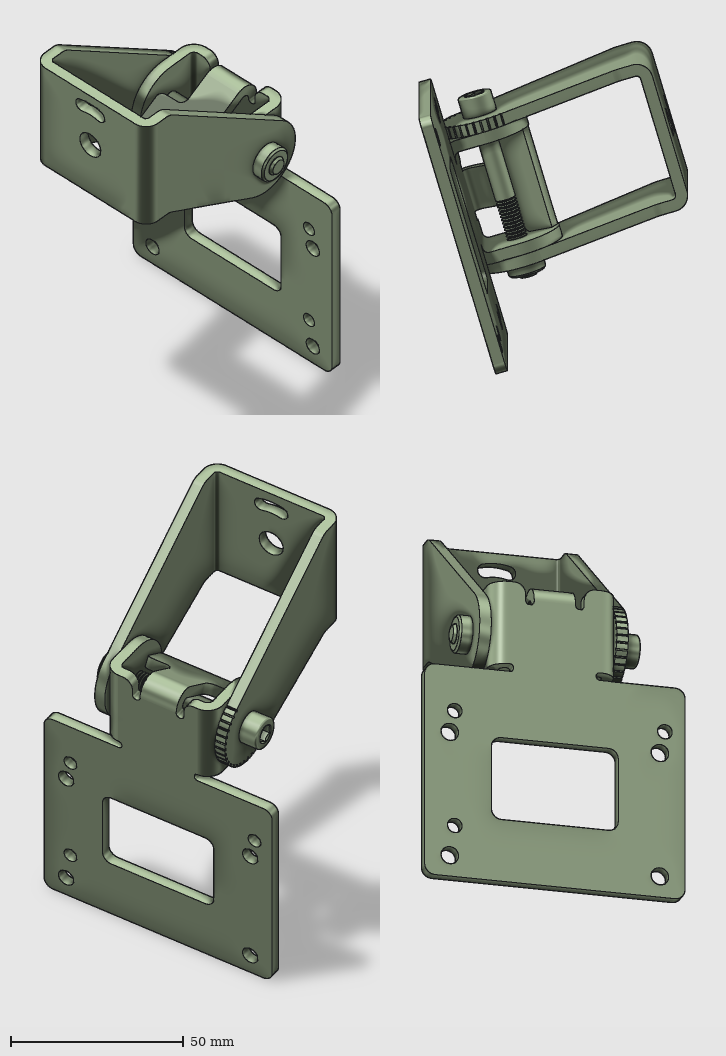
import cadquery as cq
import math

sheet = 3.5

pivot_y = -13.5
pivot_z = 80.4
bolt_radius = 3.0

bracket_half_width = 22.5
bracket_front_y = -64.3
bracket_top_z = 124.9
bracket_bottom_z = 86.8
bracket_bend_inner = 1.2
arm_end_radius = 12.6
arm_corner_y = -54.6
arm_corner_radius = 5.0
bracket_hole_diameter = 8.2
bracket_hole_z = 105.8
arc_slot_radius = 13.9
arc_slot_width = 4.2
arc_slot_half_span = 3.6
notch_width = 0.5
notch_depth = 0.7
notch_step = 10
notch_first = -120
notch_last = 60

plate_width = 78.8
plate_height = 65.3
plate_corner_radius = 3.1
window_width = 38.3
window_height = 25.3
window_center_z = 31.8
window_corner_radius = 3.0
hole_pitch_x = 63.5
large_hole_diameter = 5.2
large_hole_rows = (6.5, 44.7)
small_hole_diameter = 4.4
small_pattern_center_x = -1.5
small_hole_rows = (15.9, 51.5)

ear_outer_x = bracket_half_width - sheet
ear_radius = 12.7
ear_top_z = pivot_z + ear_radius
ear_bottom_z = pivot_z - ear_radius
fold_inner = 1.7
fold_outer = fold_inner + sheet
neck_half_width = 12.5
neck_relief_radius = (ear_bottom_z - plate_height) / 2
tongue_half_width = 6.2
tongue_slope = math.radians(30)
tongue_relief_width = 2.6
web_corner_radius = 3.4
tie_front_y = -25.8
tie_rear_y = -17.7
tie_half_width = 16.0
tie_outer_radius = 3.0
tie_inner_radius = 2.5

bolt_length = 50.0
thread_length = 24.0
thread_pitch = 1.0
thread_depth = 0.6
thread_crest = 0.1
thread_root = 0.2
head_radius = 5.0
head_height = 6.0
head_fillet = 0.6
socket_flats = 5.0
socket_depth = 3.0
socket_countersink_radius = 3.0
socket_countersink_depth = 0.5
nut_radius = 5.6
nut_height = 4.0
nut_chamfer = 0.6


def along_x(x_start, y, z):
    """Workplane facing +X with local axes Y and Z, at the given point."""
    return cq.Workplane("YZ", origin=(x_start, y, z))


def plate_face():
    """Workplane on Y = 0 facing -Y with local axes X and Z."""
    return cq.Workplane("XZ")


def pivot_bore(half_length):
    return along_x(-half_length, pivot_y, pivot_z).circle(bolt_radius).extrude(2 * half_length)


def channel(half_width, y_open, y_web, z_low, z_high, inner_radius):
    """U-shaped sheet with its web at y_web and its legs running to y_open."""
    toward_legs = math.copysign(1, y_open - y_web)
    height = z_high - z_low

    def block(half, y_wall, radius):
        length = abs(y_open - y_wall)
        middle = (y_open + y_wall) / 2
        wall_side = "<Y" if toward_legs > 0 else ">Y"
        box = cq.Workplane("XY", origin=(0, middle, z_low)).rect(2 * half, length).extrude(height)
        return box.faces(wall_side).edges("|Z").fillet(radius)

    outside = block(half_width, y_web, inner_radius + sheet)
    inside = block(half_width - sheet, y_web + toward_legs * sheet, inner_radius)
    return outside.cut(inside)


def tangent_point(corner_z, side):
    """Point where the line from an arm corner touches the arm's end circle; side: 1 above, -1 below."""
    dy = arm_corner_y - pivot_y
    dz = corner_z - pivot_z
    angle = math.atan2(dz, dy) - side * math.acos(arm_end_radius / math.hypot(dy, dz))
    return (pivot_y + arm_end_radius * math.cos(angle), pivot_z + arm_end_radius * math.sin(angle))


def arm_outline():
    upper_tangent = tangent_point(bracket_top_z, 1)
    lower_tangent = tangent_point(bracket_bottom_z, -1)
    outline = (
        along_x(-bracket_half_width, 0, 0)
        .moveTo(bracket_front_y, bracket_bottom_z)
        .lineTo(arm_corner_y, bracket_bottom_z)
        .lineTo(*lower_tangent)
        .threePointArc((pivot_y + arm_end_radius, pivot_z), upper_tangent)
        .lineTo(arm_corner_y, bracket_top_z)
        .lineTo(bracket_front_y, bracket_top_z)
        .close()
        .extrude(2 * bracket_half_width)
    )
    for corner_z in (bracket_bottom_z, bracket_top_z):
        corner = cq.selectors.NearestToPointSelector((0, arm_corner_y, corner_z))
        outline = outline.edges("|X").edges(corner).fillet(arm_corner_radius)
    return outline


def arc_slot():
    """Slot curved about the bracket hole, with round ends."""
    half_angle = math.asin(arc_slot_half_span / arc_slot_radius)
    inner = arc_slot_radius - arc_slot_width / 2
    outer = arc_slot_radius + arc_slot_width / 2

    def at(radius, angle):
        return (radius * math.sin(angle), bracket_hole_z + radius * math.cos(angle))

    def end_tip(sign):
        x, z = at(arc_slot_radius, sign * half_angle)
        bulge = arc_slot_width / 2
        return (x + sign * bulge * math.cos(half_angle), z - bulge * math.sin(half_angle))

    return (
        plate_face()
        .moveTo(*at(inner, -half_angle))
        .threePointArc(at(inner, 0), at(inner, half_angle))
        .threePointArc(end_tip(1), at(outer, half_angle))
        .threePointArc(at(outer, 0), at(outer, -half_angle))
        .threePointArc(end_tip(-1), at(inner, -half_angle))
        .close()
        .extrude(-bracket_front_y)
    )


def angle_scale():
    """Radial notches across the rim of the -X arm."""
    notches = cq.Workplane("YZ")
    for angle in range(notch_first, notch_last + 1, notch_step):
        notch = (
            along_x(-bracket_half_width, pivot_y, pivot_z)
            .center(arm_end_radius, 0)
            .rect(2 * notch_depth, notch_width)
            .extrude(sheet)
            .rotate((0, pivot_y, pivot_z), (1, pivot_y, pivot_z), angle)
        )
        notches = notches.add(notch)
    return notches.combine()


def make_bracket():
    arm_back_y = pivot_y + arm_end_radius
    arm_low_z = pivot_z - arm_end_radius
    body = channel(
        bracket_half_width, arm_back_y, bracket_front_y, arm_low_z, bracket_top_z, bracket_bend_inner
    )
    body = body.intersect(arm_outline())
    hole_radius = bracket_hole_diameter / 2
    hole = plate_face().center(0, bracket_hole_z).circle(hole_radius).extrude(-bracket_front_y)
    return body.cut(hole).cut(arc_slot()).cut(angle_scale()).cut(pivot_bore(bracket_half_width))


def mounting_plate():
    plate = (
        plate_face().center(0, plate_height / 2).rect(plate_width, plate_height).extrude(sheet)
        .edges("|Y").fillet(plate_corner_radius)
    )
    window = (
        plate_face().center(0, window_center_z).rect(window_width, window_height).extrude(sheet)
        .edges("|Y").fillet(window_corner_radius)
    )
    half_pitch = hole_pitch_x / 2
    large_points = [(side * half_pitch, z) for side in (-1, 1) for z in large_hole_rows]
    low_row, high_row = small_hole_rows
    left_x = small_pattern_center_x - half_pitch
    right_x = small_pattern_center_x + half_pitch
    small_points = [(left_x, high_row), (right_x, high_row), (right_x, low_row)]
    large_holes = plate_face().pushPoints(large_points).circle(large_hole_diameter / 2).extrude(sheet)
    small_holes = plate_face().pushPoints(small_points).circle(small_hole_diameter / 2).extrude(sheet)
    return plate.cut(window).cut(large_holes).cut(small_holes)


def neck():
    """Strip joining plate and web, with a round-ended bend relief on each side."""
    relief_x = neck_half_width + neck_relief_radius
    middle_z = (plate_height + ear_bottom_z) / 2
    strip = plate_face().center(0, middle_z).rect(2 * relief_x, 2 * neck_relief_radius).extrude(sheet)
    reliefs = (
        plate_face().pushPoints([(-relief_x, middle_z), (relief_x, middle_z)])
        .circle(neck_relief_radius).extrude(sheet)
    )
    return strip.cut(reliefs)


def web_opening():
    """Opening in the top of the web, with a flared, round-bottomed relief on each side of the tongue."""
    fold_start_z = ear_top_z - fold_outer
    slot_edge_x = tongue_half_width + tongue_relief_width
    flare = web_corner_radius
    flare_mid = flare * (1 - math.sqrt(0.5))
    half = (
        plate_face()
        .moveTo(0, ear_top_z)
        .lineTo(slot_edge_x + flare, ear_top_z)
        .threePointArc((slot_edge_x + flare_mid, ear_top_z - flare_mid), (slot_edge_x, ear_top_z - flare))
        .lineTo(slot_edge_x, fold_start_z)
        .threePointArc(
            (tongue_half_width + tongue_relief_width / 2, fold_start_z - tongue_relief_width / 2),
            (tongue_half_width, fold_start_z),
        )
        .lineTo(0, fold_start_z)
        .close()
        .extrude(sheet)
    )
    return half.union(half.mirror("YZ"))


def hinge_channel():
    """Ears and web, with the ears rounded about the pivot."""
    front_y = pivot_y - ear_radius
    body = channel(ear_outer_x, front_y, 0, ear_bottom_z, ear_top_z, fold_inner)
    outline = (
        along_x(-ear_outer_x, 0, 0)
        .moveTo(0, ear_bottom_z)
        .lineTo(pivot_y, ear_bottom_z)
        .threePointArc((front_y, pivot_z), (pivot_y, ear_top_z))
        .lineTo(0, ear_top_z)
        .close()
        .extrude(2 * ear_outer_x)
    )
    return body.intersect(outline).cut(web_opening())


def tongue_and_tie():
    """Tongue folded forward and down from the web, ending in a wide tie between the ears."""
    fold_y = -fold_outer
    fold_z = ear_top_z - fold_outer

    def on_fold(radius, angle):
        return (fold_y + radius * math.cos(angle), fold_z + radius * math.sin(angle))

    normal_angle = math.pi / 2 + tongue_slope
    outer_end = on_fold(fold_outer, normal_angle)
    inner_end = on_fold(fold_inner, normal_angle)
    fold = (
        along_x(-tongue_half_width, 0, 0)
        .moveTo(0, fold_z)
        .threePointArc(on_fold(fold_outer, normal_angle / 2), outer_end)
        .lineTo(*inner_end)
        .threePointArc(on_fold(fold_inner, normal_angle / 2), (-sheet, fold_z))
        .close()
        .extrude(2 * tongue_half_width)
    )

    slope_plane = cq.Plane(
        origin=(0, *outer_end),
        xDir=(-1, 0, 0),
        normal=(0, math.cos(normal_angle), math.sin(normal_angle)),
    )
    tie_start = (outer_end[0] - tie_rear_y) / math.cos(tongue_slope)
    tie_end = (outer_end[0] - tie_front_y) / math.cos(tongue_slope)
    half_flat = (
        cq.Workplane(slope_plane)
        .lineTo(tongue_half_width, 0)
        .lineTo(tongue_half_width, tie_start - tie_inner_radius)
        .tangentArcPoint((tongue_half_width + tie_inner_radius, tie_start), relative=False)
        .lineTo(tie_half_width - tie_outer_radius, tie_start)
        .tangentArcPoint((tie_half_width, tie_start + tie_outer_radius), relative=False)
        .lineTo(tie_half_width, tie_end)
        .lineTo(0, tie_end)
        .close()
        .extrude(-sheet)
    )
    flat = half_flat.union(half_flat.mirror("YZ"))
    return fold.union(flat)


def make_hinge_plate():
    body = mounting_plate().union(neck()).union(hinge_channel()).union(tongue_and_tie())
    return body.cut(pivot_bore(ear_outer_x))


def make_bolt():
    """Socket head cap screw with its head on the -X side and ring grooves for the thread."""
    thread_start = bolt_length - thread_length
    root_radius = bolt_radius - thread_depth
    turns = round(thread_length / thread_pitch)
    seat_x = -bracket_half_width
    profile = (
        cq.Workplane("XY", origin=(seat_x, pivot_y, pivot_z))
        .moveTo(0, 0)
        .lineTo(0, bolt_radius)
        .lineTo(thread_start + thread_crest, bolt_radius)
    )
    flank = (thread_pitch - thread_crest - thread_root) / 2
    for turn in range(1, turns):
        ring_x = thread_start + turn * thread_pitch
        profile = (
            profile
            .lineTo(ring_x - flank - thread_root, root_radius)
            .lineTo(ring_x - flank, root_radius)
            .lineTo(ring_x, bolt_radius)
            .lineTo(ring_x + thread_crest, bolt_radius)
        )
    profile = profile.lineTo(bolt_length, root_radius).lineTo(bolt_length, 0).close()
    shank = profile.revolve(360, (0, 0, 0), (1, 0, 0))

    head_end_x = seat_x - head_height
    head = (
        along_x(head_end_x, pivot_y, pivot_z).circle(head_radius).extrude(head_height)
        .faces("<X").edges().fillet(head_fillet)
    )
    socket = (
        along_x(head_end_x, pivot_y, pivot_z)
        .transformed(rotate=(0, 0, 90))
        .polygon(6, socket_flats / math.cos(math.pi / 6))
        .extrude(socket_depth)
    )
    countersink = (
        along_x(head_end_x, pivot_y, pivot_z)
        .circle(socket_countersink_radius).extrude(socket_countersink_depth, taper=45)
    )
    return shank.union(head).cut(socket).cut(countersink)


def make_nut():
    return (
        along_x(bracket_half_width, pivot_y, pivot_z).circle(nut_radius).extrude(nut_height)
        .faces(">X").edges().chamfer(nut_chamfer)
        .cut(pivot_bore(bracket_half_width + nut_height))
    )


bracket = make_bracket()
hinge_plate = make_hinge_plate()
bolt = make_bolt()
nut = make_nut()

result = cq.Compound.makeCompound([bracket.val(), hinge_plate.val(), bolt.val(), nut.val()])